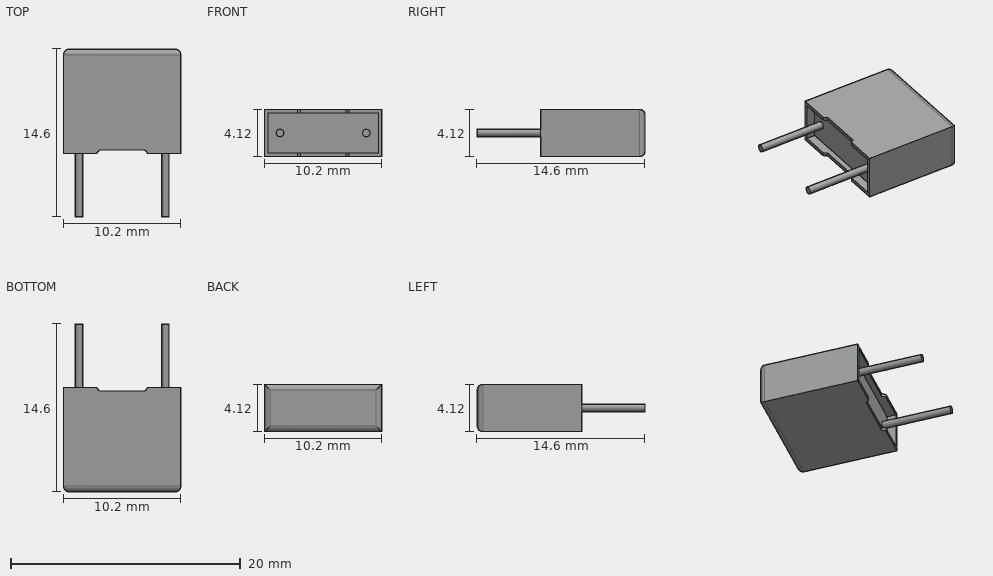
import cadquery as cq

total_length = 14.6
case_width = 10.2
case_height = 4.12
lead_length = 5.5
case_depth = total_length - lead_length
wall = 0.3
back_radius = 0.5

relief_depth = wall
relief_rim_width = 4.45
relief_floor_width = 3.95

seal_recess = 0.8
lead_diameter = 0.65
lead_pitch = 7.5

cavity_width = case_width - 2 * wall
cavity_height = case_height - 2 * wall
cavity_depth = case_depth - wall


def block(width, height, front, back):
    """Box centred on X and Z, from Y = front to Y = back."""
    return cq.Workplane("XY").box(width, back - front, height).translate((0, (front + back) / 2, 0))


def make_case():
    """Open box with a rounded closed end and a relief across each wide wall."""
    outer = block(case_width, case_height, 0, case_depth)
    outer = outer.faces(">Y").edges().fillet(back_radius)
    cavity = block(cavity_width, cavity_height, 0, cavity_depth)
    relief = (
        cq.Workplane("XY")
        .polyline([
            (-relief_rim_width / 2, 0),
            (-relief_floor_width / 2, relief_depth),
            (relief_floor_width / 2, relief_depth),
            (relief_rim_width / 2, 0),
        ])
        .close()
        .extrude(case_height / 2, both=True)
    )
    return outer.cut(cavity).cut(relief)


def make_seal():
    """Compound filling the cavity behind the recessed sealing face."""
    return block(cavity_width, cavity_height, seal_recess, cavity_depth)


def make_lead(x):
    """Round lead standing on the sealing face and pointing toward -Y."""
    return (
        cq.Workplane("XZ", origin=(x, seal_recess, 0))
        .circle(lead_diameter / 2)
        .extrude(seal_recess + lead_length)
    )


case = make_case()
seal = make_seal()
leads = [make_lead(side * lead_pitch / 2) for side in (-1, 1)]

result = cq.Compound.makeCompound([case.val(), seal.val(), *[lead.val() for lead in leads]])